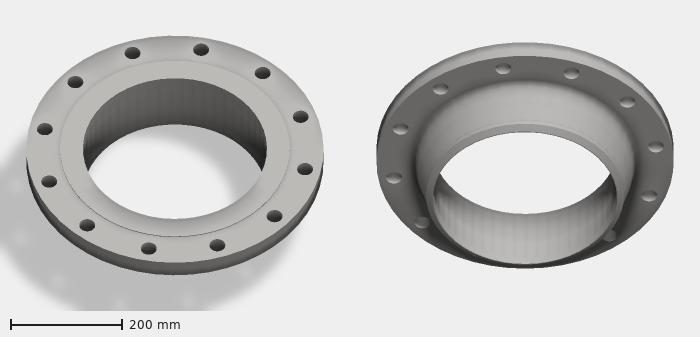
import cadquery as cq
import math

flange_diameter = 533.4
flange_thickness = 34.925
face_diameter = 412.75
face_height = 1.59
total_length = 128.59

bolt_count = 12
bolt_circle_diameter = 476.25
bolt_hole_diameter = 28.575

bore_diameter = 330.2
pipe_diameter = 355.6
hub_base_diameter = 400.05
hub_fillet_radius = 9.0
weld_land = 1.6
bevel_angle = 37.5
straight_end_length = 7.5

flange_top = total_length - face_height
flange_bottom = flange_top - flange_thickness

bore_radius = bore_diameter / 2
pipe_radius = pipe_diameter / 2
land_radius = bore_radius + weld_land
bevel_height = (pipe_radius - land_radius) * math.tan(math.radians(bevel_angle))
taper_start = bevel_height + straight_end_length


def make_neck():
    """Bevelled welding end, short cylinder and tapered hub, solid up to the flange underside."""
    section = (
        cq.Workplane("XZ")
        .moveTo(0, 0)
        .lineTo(land_radius, 0)
        .lineTo(pipe_radius, bevel_height)
        .lineTo(pipe_radius, taper_start)
        .lineTo(hub_base_diameter / 2, flange_bottom)
        .lineTo(0, flange_bottom)
        .close()
    )
    return section.revolve(360, (0, 0, 0), (0, 1, 0))


def make_flange():
    """Flange ring with the low raised face on top."""
    ring = cq.Workplane("XY").workplane(offset=flange_bottom).circle(flange_diameter / 2)
    ring = ring.extrude(flange_thickness)
    face = cq.Workplane("XY").workplane(offset=flange_top).circle(face_diameter / 2)
    return ring.union(face.extrude(face_height))


def fillet_hub_root(body):
    """Round the corner between the tapered hub and the underside of the flange."""
    hub_root = cq.selectors.RadiusNthSelector(-3)
    return body.edges("%CIRCLE").edges(hub_root).fillet(hub_fillet_radius)


def make_bore():
    """Straight bore through the full length."""
    return cq.Workplane("XY").circle(bore_radius).extrude(total_length)


def make_bolt_holes():
    """Through holes evenly spaced on the bolt circle, the first on the X axis."""
    return (
        cq.Workplane("XY")
        .workplane(offset=flange_bottom)
        .polarArray(bolt_circle_diameter / 2, 0, 360, bolt_count)
        .circle(bolt_hole_diameter / 2)
        .extrude(flange_thickness)
    )


body = fillet_hub_root(make_neck().union(make_flange()))
result = body.cut(make_bore()).cut(make_bolt_holes())